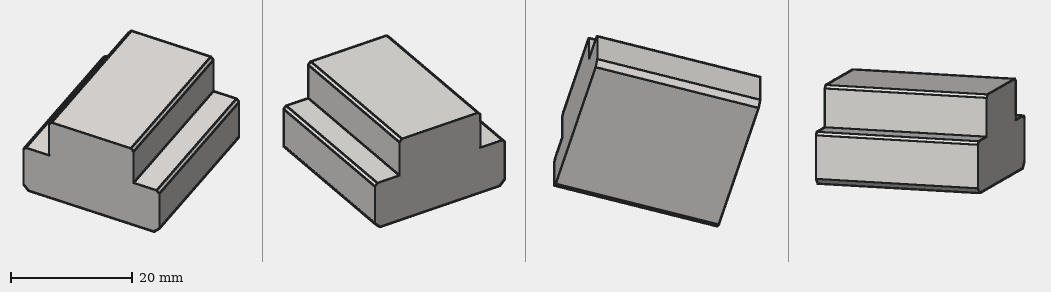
import cadquery as cq

length = 28.0
flange_width = 25.4
flange_height = 8.8
neck_width = 15.8
total_height = 15.8

top_chamfer = 0.5
bottom_chamfer = 1.0


def centred_bar(width, height, base_z):
    """Bar along Y, centred on X and Y, standing on base_z."""
    return (
        cq.Workplane("XY")
        .workplane(offset=base_z)
        .rect(width, length)
        .extrude(height)
    )


def make_flange():
    """Wide lower bar with its four long edges chamfered."""
    flange = centred_bar(flange_width, flange_height, 0)
    flange = flange.faces(">Z").edges("|Y").chamfer(top_chamfer)
    return flange.faces("<Z").edges("|Y").chamfer(bottom_chamfer)


def make_neck():
    """Narrow upper bar with its two top long edges chamfered."""
    neck = centred_bar(neck_width, total_height - flange_height, flange_height)
    return neck.faces(">Z").edges("|Y").chamfer(top_chamfer)


result = make_flange().union(make_neck())